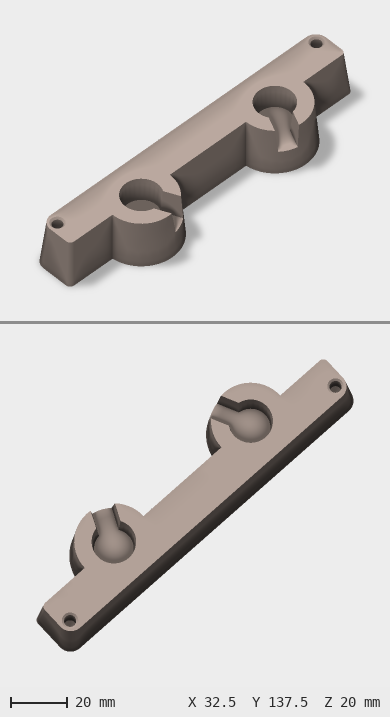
import cadquery as cq
import math

length = 137.5
height = 20.0
overall_width = 32.5
bar_width = 18.4
draft = 5.0
back_corner_radius = 5.0
front_corner_radius = 1.9

boss_radius = 15.7
boss_offset_y = 32.5
pocket_radius = 7.8
pocket_depth = 9.9
slot_width = 9.0
slot_angle = 25.0

screw_hole_diameter = 4.3
screw_hole_depth = 8.2
countersink_diameter = 5.8
drill_tip_angle = 118.0
screw_offset_x = 6.0
screw_end_distance = 5.8

boss_x = overall_width - boss_radius


def drafted_bar():
    """Rectangular bar narrowing upward, with rounded upright corners."""
    bar = (
        cq.Workplane("XY")
        .center(bar_width / 2, 0)
        .rect(bar_width, length)
        .extrude(height, taper=draft)
    )
    back_edges = bar.faces("<X").edges("not |Y")
    bar = back_edges.fillet(back_corner_radius)
    return bar.faces(">X").edges("not |Y").fillet(front_corner_radius)


def boss(side):
    """Round boss, narrowing upward like the bar."""
    return (
        cq.Workplane("XY")
        .center(boss_x, side * boss_offset_y)
        .circle(boss_radius)
        .extrude(height, taper=draft)
    )


def keyhole_pocket(side):
    """Blind round pocket with a slot breaking out through the boss wall."""
    top = cq.Workplane("XY", origin=(boss_x, side * boss_offset_y, height))
    bore = top.circle(pocket_radius).extrude(-pocket_depth, taper=draft)
    slot_length = 2 * boss_radius
    slot = (
        top.center(slot_length / 2, 0)
        .rect(slot_length, slot_width)
        .extrude(-pocket_depth, taper=draft)
        .rotate(
            (boss_x, side * boss_offset_y, 0),
            (boss_x, side * boss_offset_y, 1),
            -side * slot_angle,
        )
    )
    return bore.union(slot)


def screw_hole(side):
    """Countersunk blind hole with a conical drill tip, revolved about its axis."""
    radius = screw_hole_diameter / 2
    sink_radius = countersink_diameter / 2
    tip_depth = radius / math.tan(math.radians(drill_tip_angle / 2))
    hole_y = side * (length / 2 - screw_end_distance)
    return (
        cq.Workplane("XZ", origin=(screw_offset_x, hole_y, height))
        .polyline([
            (0, 0),
            (sink_radius, 0),
            (radius, radius - sink_radius),
            (radius, -screw_hole_depth),
            (0, -screw_hole_depth - tip_depth),
        ])
        .close()
        .revolve(360, (0, 0), (0, 1))
    )


sides = (-1, 1)
result = drafted_bar()
for side in sides:
    result = result.union(boss(side))
for side in sides:
    result = result.cut(keyhole_pocket(side)).cut(screw_hole(side))